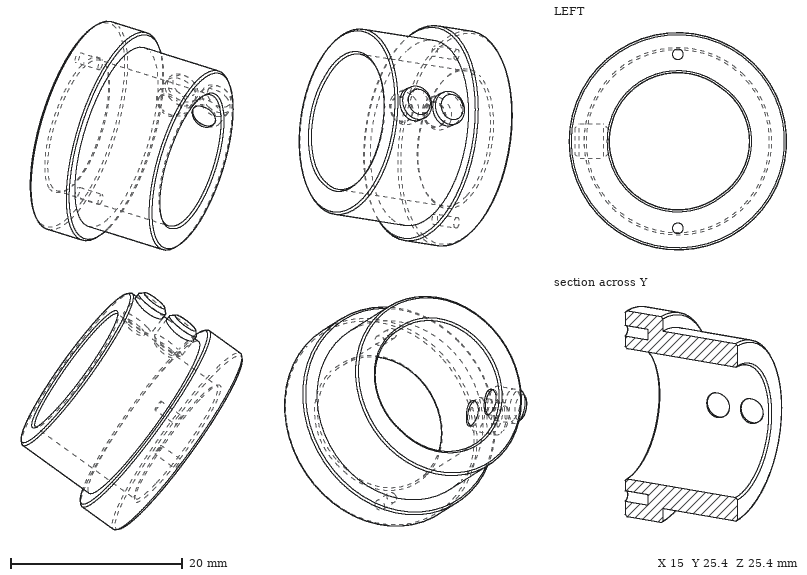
import cadquery as cq

flange_diameter = 25.4
barrel_diameter = 21.9
flange_width = 5.08
total_length = 15.0
edge_chamfer = 0.25

bore_radius = 8.0
relief_radius = 7.5
relief_offset = 0.86

spanner_hole_diameter = 1.25
spanner_hole_depth = 3.0
spanner_hole_offset = 10.15

screw_diameter = 4.0
screw_chamfer = 0.48
screw_positions = [8.0, 12.5]
screw_outer_y = 12.05
screw_length = 3.85


def cut_round_bore(body, radius, centre_y):
    """Cut one circle of the bore right through and chamfer both of its mouths."""
    cylinder = cq.Workplane("YZ").center(centre_y, 0).circle(radius).extrude(total_length)
    body = body.cut(cylinder)
    for mouth_x, inward in ((0, 1), (total_length, -1)):
        cone = cq.Solid.makeCone(
            radius + edge_chamfer,
            radius,
            edge_chamfer,
            pnt=cq.Vector(mouth_x, centre_y, 0),
            dir=cq.Vector(inward, 0, 0),
        )
        body = body.cut(cq.Workplane(obj=cone))
    return body


def make_screw(x):
    """Set screw on the Y direction, chamfered at both ends."""
    return (
        cq.Workplane("XZ", origin=(x, screw_outer_y, 0))
        .circle(screw_diameter / 2)
        .extrude(screw_length)
        .faces("<Y or >Y")
        .chamfer(screw_chamfer)
    )


def make_screw_hole(x):
    """Seat that matches the screw, with a hole as wide as its tip opening into the bore."""
    tip_radius = screw_diameter / 2 - screw_chamfer
    tip_hole = cq.Workplane("XZ", origin=(x, screw_outer_y, 0)).circle(tip_radius).extrude(screw_outer_y)
    return tip_hole.union(make_screw(x))


def make_sleeve():
    flange = cq.Workplane("YZ").circle(flange_diameter / 2).extrude(flange_width)
    flange = flange.edges().chamfer(edge_chamfer)
    barrel = cq.Workplane("YZ").circle(barrel_diameter / 2).extrude(total_length)
    barrel = barrel.faces(">X").chamfer(edge_chamfer)
    sleeve = flange.union(barrel)
    sleeve = cut_round_bore(sleeve, bore_radius, 0)
    sleeve = cut_round_bore(sleeve, relief_radius, -relief_offset)

    spanner_holes = (
        cq.Workplane("YZ")
        .pushPoints([(0, spanner_hole_offset), (0, -spanner_hole_offset)])
        .circle(spanner_hole_diameter / 2)
        .extrude(spanner_hole_depth)
    )
    sleeve = sleeve.cut(spanner_holes)

    for x in screw_positions:
        sleeve = sleeve.cut(make_screw_hole(x))
    return sleeve


sleeve = make_sleeve()
screws = [make_screw(x) for x in screw_positions]

result = cq.Compound.makeCompound([sleeve.val(), *[screw.val() for screw in screws]])